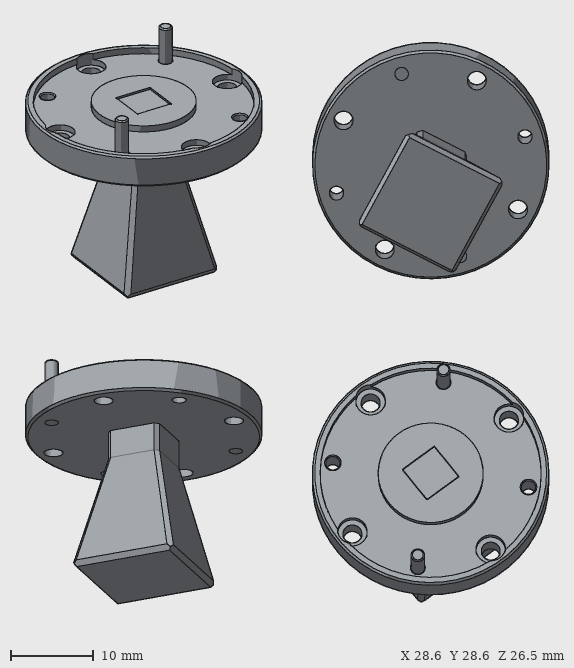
import cadquery as cq
import math

flange_radius = 14.28
flange_thickness = 4.09
top_chamfer_width = 0.29
top_chamfer_height = 0.2
bottom_chamfer = 0.29

recess_radius = 13.35
boss_radius = 6.35
recess_depth = 0.83

window_side = 4.85
window_depth = 0.25

pitch_radius = 11.9
bolt_hole_diameter = 2.29
counterbore_diameter = 3.57
counterbore_depth = 0.77
bolt_angles = (0, 90, 180, 270)
dowel_hole_diameter = 1.7
dowel_countersink = 0.15
dowel_hole_angles = (45, 225)

pin_diameter = 1.63
pin_projection = 3.95
pin_chamfer = 0.17
pin_hole_countersink = 0.09
pin_angles = (135, 315)

overall_height = 26.48
neck_width = 6.77
neck_length = 3.55
neck_corner = 0.5
flare_end_width = 13.49
flare_corner = 0.6
end_width = 12.29
bevel_slope = 0.64

recess_floor = -recess_depth
flange_bottom = -flange_thickness
flare_top = flange_bottom - neck_length
horn_bottom = pin_projection - overall_height
flare_length = flare_top - horn_bottom


def pitch_point(angle):
    """Point on the pitch circle at an angle in degrees."""
    turn = math.radians(angle)
    return (pitch_radius * math.cos(turn), pitch_radius * math.sin(turn))


def cylinder(angle, diameter, bottom, top):
    """Upright cylinder centred on the pitch circle."""
    center = pitch_point(angle)
    return cq.Workplane("XY", origin=(*center, bottom)).circle(diameter / 2).extrude(top - bottom)


def cut_corner_square(width, corner):
    """Points of a square with its four corners cut at 45 degrees."""
    side = width / 2
    flat = side - corner
    return [
        (side, -flat), (side, flat), (flat, side), (-flat, side),
        (-side, flat), (-side, -flat), (-flat, -side), (flat, -side),
    ]


def make_disc():
    """Chamfered disc with the annular recess and the square window."""
    disc = cq.Workplane("XY", origin=(0, 0, flange_bottom)).circle(flange_radius).extrude(flange_thickness)
    rim_edge = (
        cq.Workplane("XZ")
        .moveTo(flange_radius - top_chamfer_width, 0)
        .lineTo(flange_radius, 0)
        .lineTo(flange_radius, -top_chamfer_height)
        .close()
        .revolve(360, (0, 0, 0), (0, 1, 0))
    )
    recess = cq.Workplane("XY").circle(recess_radius).circle(boss_radius).extrude(-recess_depth)
    window = cq.Workplane("XY").rect(window_side, window_side).extrude(-window_depth)
    return disc.faces("<Z").edges().chamfer(bottom_chamfer).cut(rim_edge).cut(recess).cut(window)


def make_counterbored_hole(angle):
    """Through hole whose counterbore also bites into the rim."""
    hole = cylinder(angle, bolt_hole_diameter, flange_bottom, 0)
    counterbore = cylinder(angle, counterbore_diameter, recess_floor - counterbore_depth, 0)
    return hole.union(counterbore)


def make_countersunk_hole(angle, diameter, countersink):
    """Through hole with a 45 degree countersink at the recess floor."""
    mouth_radius = diameter / 2 + countersink
    hole = cylinder(angle, diameter, flange_bottom, recess_floor)
    mouth_center = cq.Vector(*pitch_point(angle), recess_floor)
    mouth = cq.Solid.makeCone(mouth_radius, diameter / 2, countersink, mouth_center, cq.Vector(0, 0, -1))
    return hole.union(cq.Workplane(mouth))


def make_horn():
    """Neck and flare, hanging from the flange."""
    neck = (
        cq.Workplane("XY", origin=(0, 0, flare_top))
        .polyline(cut_corner_square(neck_width, neck_corner))
        .close()
        .extrude(neck_length)
    )
    flare = (
        cq.Workplane("XY", origin=(0, 0, flare_top))
        .polyline(cut_corner_square(neck_width, neck_corner))
        .close()
        .workplane(offset=-flare_length)
        .polyline(cut_corner_square(flare_end_width, flare_corner))
        .close()
        .loft(ruled=True)
    )
    bevel_top_width = end_width + 2 * bevel_slope * flare_length
    bevel = (
        cq.Workplane("XY", origin=(0, 0, horn_bottom))
        .rect(end_width, end_width)
        .workplane(offset=flare_length)
        .rect(bevel_top_width, bevel_top_width)
        .loft(ruled=True)
    )
    return neck.union(flare.intersect(bevel))


def make_flanged_horn():
    """Flange and horn as one body, with every hole cut."""
    body = make_disc().union(make_horn())
    for angle in bolt_angles:
        body = body.cut(make_counterbored_hole(angle))
    for angle in dowel_hole_angles:
        body = body.cut(make_countersunk_hole(angle, dowel_hole_diameter, dowel_countersink))
    for angle in pin_angles:
        body = body.cut(make_countersunk_hole(angle, pin_diameter, pin_hole_countersink))
    return body


def make_pin(angle):
    """Straight pin with a chamfered tip, flush with the flange underside."""
    return cylinder(angle, pin_diameter, flange_bottom, pin_projection).faces(">Z").chamfer(pin_chamfer)


flanged_horn = make_flanged_horn()
pins = [make_pin(angle) for angle in pin_angles]

result = cq.Compound.makeCompound([flanged_horn.val(), *[pin.val() for pin in pins]])